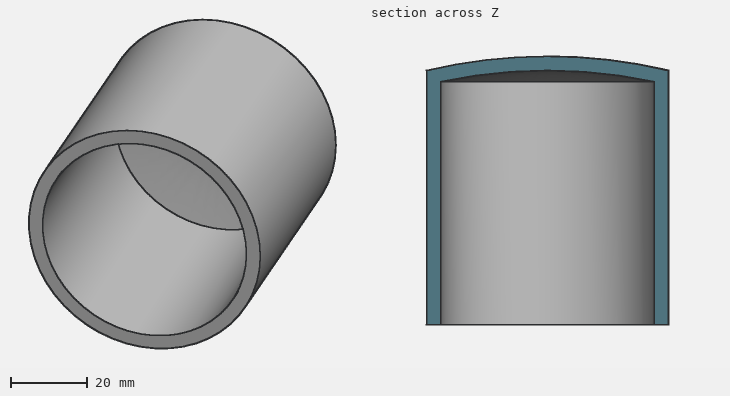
import cadquery as cq
import math

outer_diameter = 63.0
total_length = 69.8
wall = 3.8
dome_height = 3.7

outer_radius = outer_diameter / 2
bore_radius = outer_radius - wall
dome_radius = (outer_radius**2 + dome_height**2) / (2 * dome_height)
dome_center_y = total_length - dome_radius
inner_dome_radius = dome_radius - wall


def domed_cylinder(radius, sphere_radius):
    """Solid cylinder along Y from Y = 0, capped by a sphere about the dome centre."""
    apex_y = dome_center_y + sphere_radius
    rim_y = dome_center_y + math.sqrt(sphere_radius**2 - radius**2)
    middle_x = radius / 2
    middle_y = dome_center_y + math.sqrt(sphere_radius**2 - middle_x**2)
    return (
        cq.Workplane("XY")
        .lineTo(radius, 0)
        .lineTo(radius, rim_y)
        .threePointArc((middle_x, middle_y), (0, apex_y))
        .close()
        .revolve(360, (0, 0, 0), (0, 1, 0))
    )


body = domed_cylinder(outer_radius, dome_radius)
cavity = domed_cylinder(bore_radius, inner_dome_radius)
result = body.cut(cavity)